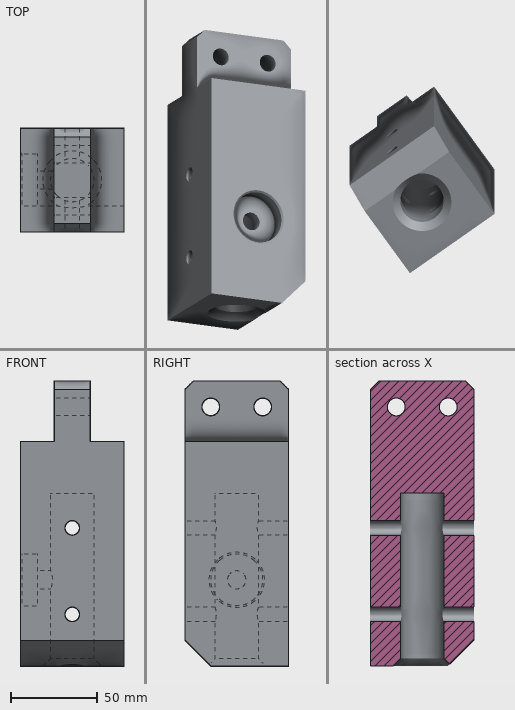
import cadquery as cq

side = 60.0
total_height = 165
shoulder_height = 130.0
toe_chamfer = 15.0

tab_thickness = 21.0
tab_chamfer = 5.0
tab_hole_diameter = 10.0
tab_hole_spacing = 30.0
tab_hole_height = 150.0

recess_diameter = 30.0
recess_depth = 10.0
recess_chamfer = 1.0
recess_height = 50.0
port_diameter = 10.5

bore_diameter = 25.0
bore_depth = 100.0
bore_chamfer = 4.5

cross_hole_diameter = 8.2
cross_hole_heights = (30.0, 80.0)


def chamfered_pocket(plane, diameter, depth, entry_chamfer):
    """Flat-bottomed round pocket along the plane normal, widened at its mouth."""
    radius = diameter / 2
    mouth_radius = radius + entry_chamfer
    half_section = [
        (0, 0),
        (mouth_radius, 0),
        (radius, entry_chamfer),
        (radius, depth),
        (0, depth),
    ]
    pocket = cq.Workplane("XY").polyline(half_section).close().revolve(360, (0, 0), (0, 1))
    return pocket.rotate((0, 0, 0), (1, 0, 0), 90).val().moved(cq.Location(plane))


def make_body():
    block = cq.Workplane("XY").box(side, side, shoulder_height, centered=(True, True, False))
    return block.faces("<Z").edges("<Y").chamfer(toe_chamfer)


def make_tab():
    tab = (
        cq.Workplane("XY", origin=(0, 0, shoulder_height))
        .box(tab_thickness, side, total_height - shoulder_height, centered=(True, True, False))
        .faces(">Z")
        .edges("|X")
        .chamfer(tab_chamfer)
    )
    holes = (
        cq.Workplane("YZ")
        .pushPoints([(y, tab_hole_height) for y in (-tab_hole_spacing / 2, tab_hole_spacing / 2)])
        .circle(tab_hole_diameter / 2)
        .extrude(tab_thickness, both=True)
    )
    return tab.cut(holes)


def make_cross_holes():
    return (
        cq.Workplane("XZ")
        .pushPoints([(0, height) for height in cross_hole_heights])
        .circle(cross_hole_diameter / 2)
        .extrude(side, both=True)
    )


recess_plane = cq.Plane(origin=(-side / 2, 0, recess_height), xDir=(0, 1, 0), normal=(1, 0, 0))
recess = chamfered_pocket(recess_plane, recess_diameter, recess_depth, recess_chamfer)
port = cq.Workplane(recess_plane).circle(port_diameter / 2).extrude(side / 2)
bore = chamfered_pocket(cq.Plane.XY(), bore_diameter, bore_depth, bore_chamfer)

result = make_body().union(make_tab())
result = result.cut(make_cross_holes()).cut(recess).cut(port).cut(bore)